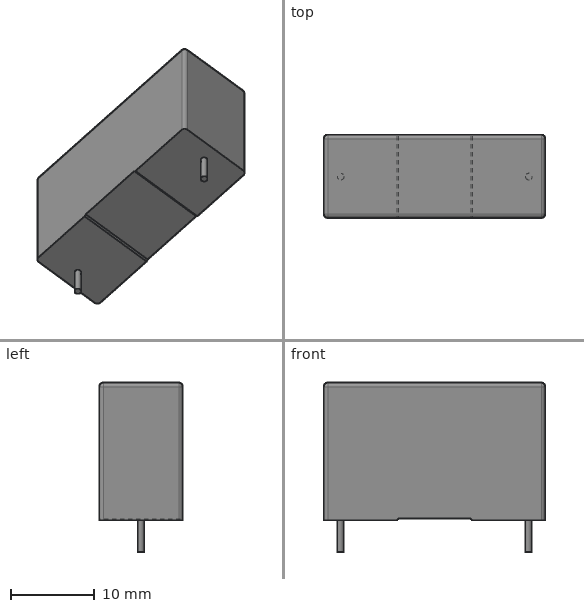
import cadquery as cq

case_length = 26.5
case_width = 10.0
case_height = 16.5
edge_radius = 0.5

lead_pitch = 22.5
lead_diameter = 0.8
lead_length = 3.8

relief_depth = 0.2
relief_mouth_length = 9.05
relief_roof_length = relief_mouth_length - 2 * relief_depth


def make_case():
    """Box with rounded vertical and top edges and a sharp bottom rim."""
    box = cq.Workplane("XY").box(case_length, case_width, case_height, centered=(True, True, False))
    return box.edges("|Z or >Z").fillet(edge_radius)


def make_relief():
    """Trapezoidal prism that runs through the full width of the case."""
    return (
        cq.Workplane("XZ")
        .moveTo(-relief_mouth_length / 2, 0)
        .lineTo(-relief_roof_length / 2, relief_depth)
        .lineTo(relief_roof_length / 2, relief_depth)
        .lineTo(relief_mouth_length / 2, 0)
        .close()
        .extrude(case_width / 2, both=True)
    )


def make_leads():
    """Two straight leads hanging from the case underside."""
    lead_centers = [(-lead_pitch / 2, 0), (lead_pitch / 2, 0)]
    return cq.Workplane("XY").pushPoints(lead_centers).circle(lead_diameter / 2).extrude(-lead_length)


result = make_case().cut(make_relief()).union(make_leads())